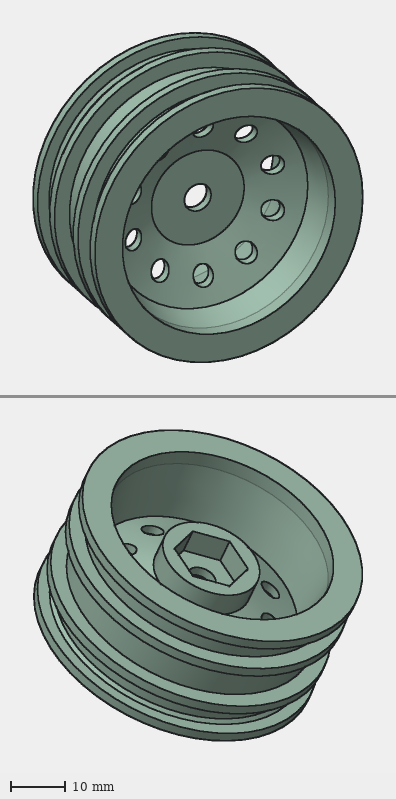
import cadquery as cq
import math

wheel_radius = 27.5
wheel_width = 26.0

flange_width = 2.0
inner_flange_start = 7.1
drum_radius = 24.4
drum_flare = 0.7

mouth_radius = 21.8
mouth_depth = 3.0
web_bore_radius = 20.4

web_rim_x = 15.4
web_hub_x = 11.0
web_thickness = 2.0

hub_radius = 9.5
hub_face_x = 6.0
hex_across_flats = 12.5
hex_depth = 5.0
axle_hole_diameter = 5.45

hole_count = 10
hole_diameter = 4.0
hole_circle_radius = 15.0


def revolve_about_x(profile):
    """Revolve a list of (x, radius) points into a solid around the X axis."""
    return cq.Workplane("XY").polyline(profile).close().revolve(360, (0, 0, 0), (1, 0, 0))


def ring(start, width, outer_radius, inner_radius):
    """Plain ring around the X axis."""
    return cq.Workplane("YZ", origin=(start, 0, 0)).circle(outer_radius).circle(inner_radius).extrude(width)


def make_rim():
    """Tapered rim wall, flared outwards where it meets the two end flanges."""
    far_flange_x = wheel_width - flange_width
    far_inner_flange_x = far_flange_x - inner_flange_start
    flare_radius = drum_radius + drum_flare
    rim = revolve_about_x([
        (0, mouth_radius),
        (0, flare_radius),
        (flange_width, flare_radius),
        (flange_width + drum_flare, drum_radius),
        (far_flange_x - drum_flare, drum_radius),
        (far_flange_x, flare_radius),
        (wheel_width, flare_radius),
        (wheel_width, mouth_radius),
        (wheel_width - mouth_depth, mouth_radius),
        (web_rim_x + web_thickness, web_bore_radius),
        (web_rim_x, web_bore_radius),
        (mouth_depth, mouth_radius),
    ])
    for start in (0, inner_flange_start, far_inner_flange_x, far_flange_x):
        rim = rim.union(ring(start, flange_width, wheel_radius, mouth_radius))
    return rim


def make_web_and_hub():
    """Hub and web as one profile; the web ends inside the rim wall."""
    slope = (web_rim_x - web_hub_x) / (web_bore_radius - hub_radius)
    web_outer_radius = (web_bore_radius + drum_radius) / 2
    web_outer_x = web_rim_x + slope * (web_outer_radius - web_bore_radius)
    hub_back_x = web_hub_x + web_thickness
    return revolve_about_x([
        (hub_face_x, 0),
        (hub_face_x, hub_radius),
        (web_hub_x, hub_radius),
        (web_outer_x, web_outer_radius),
        (web_outer_x + web_thickness, web_outer_radius),
        (hub_back_x, hub_radius),
        (hub_back_x, 0),
    ])


def make_hub_cuts():
    """Hexagonal socket in the hub face and the axle hole behind it."""
    hub_face = cq.Workplane("YZ", origin=(hub_face_x, 0, 0))
    hex_corner_diameter = hex_across_flats / math.cos(math.pi / 6)
    socket = hub_face.polygon(6, hex_corner_diameter).extrude(hex_depth)
    axle_hole = hub_face.circle(axle_hole_diameter / 2).extrude(wheel_width - hub_face_x)
    return socket.union(axle_hole)


def make_web_holes():
    """Ring of plain holes parallel to the axis."""
    return (
        cq.Workplane("YZ")
        .polarArray(hole_circle_radius, 90, 360, hole_count)
        .circle(hole_diameter / 2)
        .extrude(wheel_width)
    )


result = make_rim().union(make_web_and_hub()).cut(make_hub_cuts()).cut(make_web_holes())